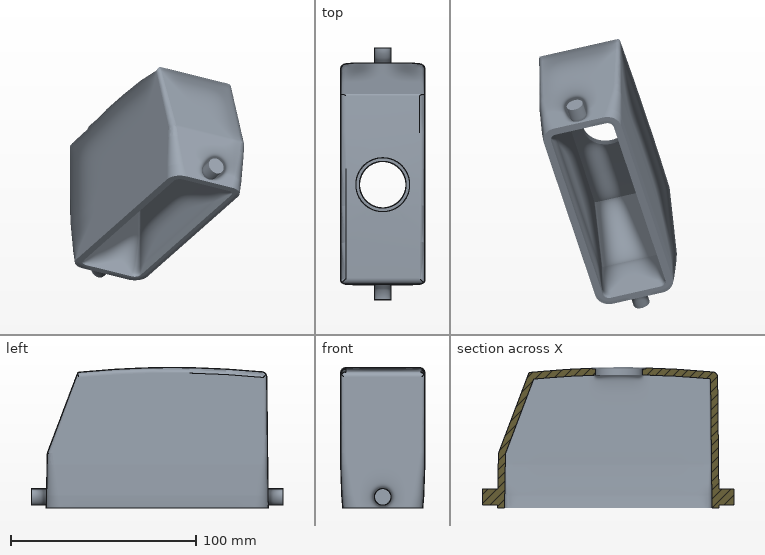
import cadquery as cq

length_over_pins = 136.0
height = 76.0
wall = 4.1

half_width = 22.78
lip_half_width = 22.2
base_half_width = 21.6

lip_height = 6.7
skirt_height = 23.5
knee_height = 29.6
roof_edge_height = 73.5
blank_height = height + 2.7

base_half_length = 60.0
knee_back_y = 59.5
roof_back_y = 42.8
roof_front_y = -59.2
crown_y = -6.8

base_corner = 7.6
lip_corner = 6.4
skirt_corner = 3.8
knee_corner = 3.0
top_corner = 1.6
inner_corner = 0.8

roof_fillet = 3.0
roof_back_fillet = 1.2
knee_fillet = 5.5

entry_y = -5.8
entry_diameter = 25.0
seat_diameter = 29.1
seat_depth = 0.7

pin_diameter = 9.0
pin_height = 6.1


def y_between(level, low, high):
    """Y at a level on the straight line through two (y, z) points."""
    share = (level - low[1]) / (high[1] - low[1])
    return low[0] + share * (high[0] - low[0])


def front_y(level):
    return y_between(level, (-base_half_length, 0), (roof_front_y, roof_edge_height))


def back_y(level):
    """The +Y end is nearly upright below the knee and sloped above it."""
    knee = (knee_back_y, knee_height)
    if level <= knee_height:
        return y_between(level, (base_half_length, 0), knee)
    return y_between(level, knee, (roof_back_y, roof_edge_height))


def section_wire(level, half_x, corner, inset):
    """Rounded rectangle at one level, moved inwards by inset."""
    length = back_y(level) - front_y(level)
    middle_y = (back_y(level) + front_y(level)) / 2
    outline = cq.Sketch().rect(2 * (half_x - inset), length - 2 * inset)
    outline = outline.vertices().fillet(max(corner - inset, inner_corner))
    plane = cq.Workplane("XY", origin=(0, middle_y, level))
    return plane.placeSketch(outline).extrude(1.4).faces("<Z").wires().val()


def tapered_blank(inset):
    """Straight-sided loft through the sections, taller than the roof."""
    sections = [
        (0, base_half_width, base_corner),
        (lip_height, lip_half_width, lip_corner),
        (skirt_height, half_width, skirt_corner),
        (knee_height, half_width, knee_corner),
        (blank_height, half_width, top_corner),
    ]
    wires = [section_wire(*section, inset) for section in sections]
    return cq.Workplane(cq.Solid.makeLoft(wires, True))


def crowned_prism():
    """Side outline of the hood, extruded over its full width."""
    return (
        cq.Workplane("YZ")
        .moveTo(-base_half_length, 0)
        .lineTo(roof_front_y, roof_edge_height)
        .threePointArc((crown_y, height), (roof_back_y, roof_edge_height))
        .lineTo(knee_back_y, knee_height)
        .lineTo(base_half_length, 0)
        .close()
        .extrude(half_width, both=True)
    )


def fillet_near(body, points, radius):
    """Round the edges closest to the given points."""
    edges = [body.edges(cq.NearestToPointSelector(point)).val() for point in points]
    return body.newObject(edges).fillet(radius)


def outer_body():
    knee = (0, knee_back_y, knee_height)
    roof_back = (0, roof_back_y, roof_edge_height)
    roof_front = (0, roof_front_y, roof_edge_height)
    roof_sides = [(side * half_width, crown_y, height) for side in (-1, 1)]
    end_rounding = fillet_near(crowned_prism(), [knee], knee_fillet)
    end_rounding = fillet_near(end_rounding, [roof_back], roof_back_fillet)
    end_rounding = fillet_near(end_rounding, [roof_front], roof_fillet)
    side_rounding = fillet_near(crowned_prism(), roof_sides, roof_fillet)
    return tapered_blank(0).intersect(end_rounding).intersect(side_rounding)


def cavity():
    """Space inside the walls, under a roof of the same thickness."""
    return tapered_blank(wall).intersect(crowned_prism().translate((0, 0, -wall)))


def locking_pins():
    pins = cq.Workplane("XZ", origin=(0, 0, pin_height)).circle(pin_diameter / 2)
    return pins.extrude(length_over_pins / 2, both=True)


def cable_entry():
    bore = cq.Workplane("XY").center(0, entry_y).circle(entry_diameter / 2).extrude(height)
    seat = cq.Workplane("XY", origin=(0, entry_y, height - seat_depth))
    return bore.union(seat.circle(seat_diameter / 2).extrude(wall))


result = outer_body().union(locking_pins()).cut(cavity()).cut(cable_entry())